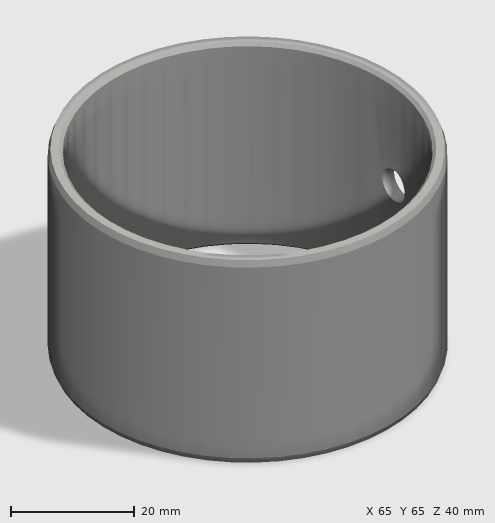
import cadquery as cq

outer_diameter = 65.0
bore_diameter = 60.1
height = 40.0

outer_chamfer_height = 1.2
outer_chamfer_depth = 0.45
bore_chamfer = 0.6

oil_hole_diameter = 6.0

outer_radius = outer_diameter / 2
bore_radius = bore_diameter / 2
half_height = height / 2


def make_sleeve():
    """Revolve the chamfered wall section around Z."""
    outer_edge_z = half_height - outer_chamfer_height
    bore_edge_z = half_height - bore_chamfer
    end_outer_radius = outer_radius - outer_chamfer_depth
    end_bore_radius = bore_radius + bore_chamfer
    wall_section = [
        (bore_radius, -bore_edge_z),
        (end_bore_radius, -half_height),
        (end_outer_radius, -half_height),
        (outer_radius, -outer_edge_z),
        (outer_radius, outer_edge_z),
        (end_outer_radius, half_height),
        (end_bore_radius, half_height),
        (bore_radius, bore_edge_z),
    ]
    return cq.Workplane("XZ").polyline(wall_section).close().revolve(360, (0, 0), (0, 1))


def make_oil_hole():
    """Cylinder running from the axis out through the +Y wall."""
    return cq.Workplane("XZ").circle(oil_hole_diameter / 2).extrude(-outer_diameter)


result = make_sleeve().cut(make_oil_hole())